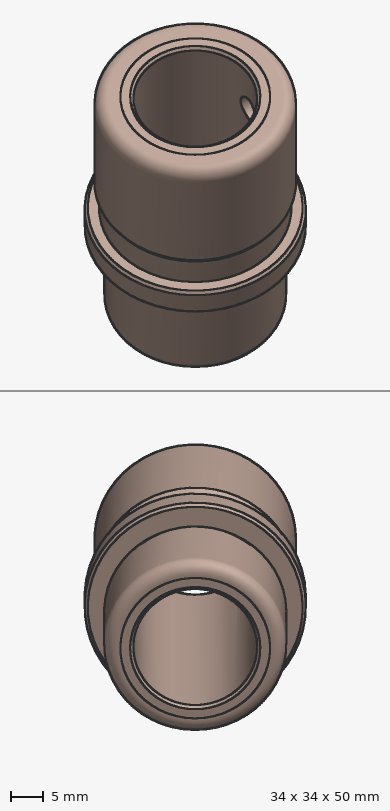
import cadquery as cq
import math

LENGTH = 50.0
BORE_RADIUS = 9.5
SLEEVE_RADIUS = 11.5
BORE_CHAMFER = 0.5

HEAD_RADIUS = 15.5
NECK_RADIUS = 14.8
FLANGE_RADIUS = 17.0
SHANK_RADIUS = 14.0

FLANGE_BOTTOM = 18.0
FLANGE_THICKNESS = 5.0
FLANGE_TOP = FLANGE_BOTTOM + FLANGE_THICKNESS
FLANGE_CHAMFER = 0.5
NECK_TOP = 28.0
HEAD_TAPER_HEIGHT = 1.2

END_ROUND = 2.0
UNDERCUT_DEPTH = 0.7
UNDERCUT_HEIGHT = 2.0
UNDERCUT_RADIUS = (UNDERCUT_HEIGHT**2 + UNDERCUT_DEPTH**2) / (2 * UNDERCUT_DEPTH)

CROSS_HOLE_DIAMETER = 4.8
CROSS_HOLE_DROP = 9.0
CROSS_HOLE_Z = LENGTH - CROSS_HOLE_DROP


def cross_hole():
    """Cylinder from the axis outward along +Y, used to cut the radial hole."""
    plane = cq.Plane(origin=(0, 0, CROSS_HOLE_Z), xDir=(1, 0, 0), normal=(0, 1, 0))
    return cq.Workplane(plane).circle(CROSS_HOLE_DIAMETER / 2).extrude(FLANGE_RADIUS)


def make_housing():
    """Flanged outer body, revolved about Z."""
    arc_inset = END_ROUND * (1 - math.sqrt(0.5))
    undercut_center_x = SHANK_RADIUS - UNDERCUT_DEPTH + UNDERCUT_RADIUS
    undercut_mid_drop = UNDERCUT_HEIGHT / 2
    undercut_mid_x = undercut_center_x - math.sqrt(UNDERCUT_RADIUS**2 - undercut_mid_drop**2)
    profile = (
        cq.Workplane("XZ")
        .moveTo(SLEEVE_RADIUS, 0)
        .lineTo(SHANK_RADIUS - END_ROUND, 0)
        .threePointArc((SHANK_RADIUS - arc_inset, arc_inset), (SHANK_RADIUS, END_ROUND))
        .lineTo(SHANK_RADIUS, FLANGE_BOTTOM - UNDERCUT_HEIGHT)
        .threePointArc(
            (undercut_mid_x, FLANGE_BOTTOM - undercut_mid_drop),
            (SHANK_RADIUS - UNDERCUT_DEPTH, FLANGE_BOTTOM),
        )
        .lineTo(FLANGE_RADIUS - FLANGE_CHAMFER, FLANGE_BOTTOM)
        .lineTo(FLANGE_RADIUS, FLANGE_BOTTOM + FLANGE_CHAMFER)
        .lineTo(FLANGE_RADIUS, FLANGE_TOP - FLANGE_CHAMFER)
        .lineTo(FLANGE_RADIUS - FLANGE_CHAMFER, FLANGE_TOP)
        .lineTo(NECK_RADIUS, FLANGE_TOP)
        .lineTo(NECK_RADIUS, NECK_TOP)
        .lineTo(HEAD_RADIUS, NECK_TOP + HEAD_TAPER_HEIGHT)
        .lineTo(HEAD_RADIUS, LENGTH - END_ROUND)
        .threePointArc(
            (HEAD_RADIUS - arc_inset, LENGTH - arc_inset),
            (HEAD_RADIUS - END_ROUND, LENGTH),
        )
        .lineTo(SLEEVE_RADIUS, LENGTH)
        .close()
    )
    return profile.revolve(360, (0, 0, 0), (0, 1, 0)).cut(cross_hole())


def make_sleeve():
    """Plain liner filling the housing bore, with both bore mouths chamfered."""
    tube = cq.Workplane("XY").circle(SLEEVE_RADIUS).circle(BORE_RADIUS).extrude(LENGTH)
    bore_mouths = cq.selectors.RadiusNthSelector(0)
    return tube.edges("%CIRCLE").edges(bore_mouths).chamfer(BORE_CHAMFER).cut(cross_hole())


housing = make_housing()
sleeve = make_sleeve()

result = cq.Compound.makeCompound([housing.val(), sleeve.val()])